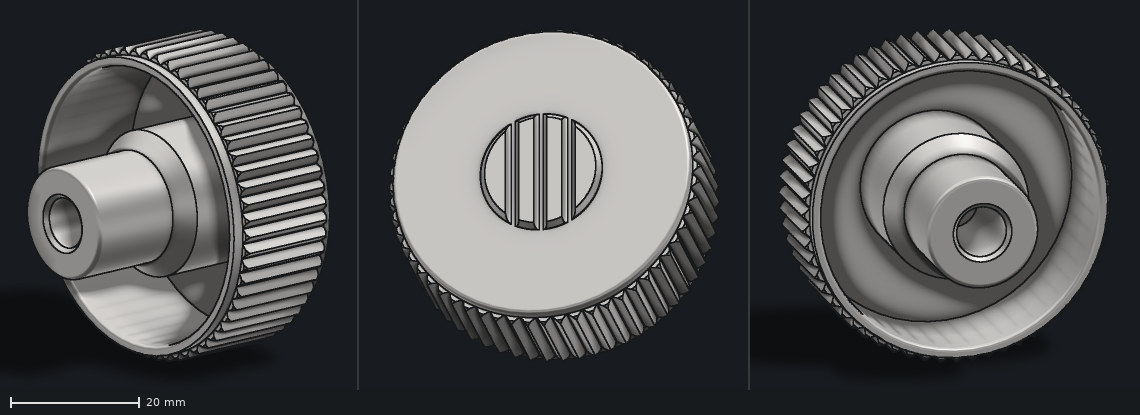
import cadquery as cq
import math

rim_diameter = 47.5
rim_length = 20.0
rim_back_fillet = 0.65
cavity_diameter = 44.6
cavity_depth = 18.0
cavity_mouth_fillet = 0.6

tooth_count = 60
tip_diameter = 50.0
valley_diameter = 47.4
band_start = 1.8
band_length = 16.5
tip_chamfer = 0.5

hub_diameter = 18.0
hub_length = 15.0
hub_end_fillet = 0.7
hub_root_diameter = 23.4
hub_cone_start = 0.0
bore_diameter = 8.0
bore_depth = 20.0
bore_chamfer = 0.7

badge_diameter = 19.4
badge_height = 1.0
badge_chamfer = 0.85
groove_count = 3
groove_pitch = 4.5
groove_radius = 1.05


def disc(diameter, start, length):
    """Cylinder about the Y axis reaching from start to start + length."""
    return cq.Workplane("XZ", origin=(0, start, 0)).circle(diameter / 2).extrude(-length)


def make_rim():
    body = disc(rim_diameter, 0, rim_length).faces(">Y").edges().fillet(rim_back_fillet)
    body = body.cut(disc(cavity_diameter, 0, cavity_depth))
    cavity_mouth = cq.selectors.RadiusNthSelector(0)
    return body.faces("<Y").edges(cavity_mouth).fillet(cavity_mouth_fillet)


def make_knurled_band():
    """Ring of pointed teeth whose tips are chamfered at both ends."""
    points = []
    for i in range(2 * tooth_count):
        radius = (tip_diameter if i % 2 == 0 else valley_diameter) / 2
        angle = math.pi * i / tooth_count
        points.append((radius * math.cos(angle), radius * math.sin(angle)))
    plane = cq.Workplane("XZ", origin=(0, band_start, 0))
    teeth = plane.polyline(points).close().extrude(-band_length)
    envelope = disc(tip_diameter, band_start, band_length).edges("%CIRCLE").chamfer(tip_chamfer)
    return teeth.intersect(envelope).cut(disc(cavity_diameter, band_start, band_length))


def make_hub():
    """Stepped hub with a conical shoulder, joined to the cavity floor."""
    hub = disc(hub_diameter, -hub_length, hub_length + cavity_depth)
    hub = hub.faces("<Y").edges().fillet(hub_end_fillet)
    root = disc(hub_root_diameter, hub_cone_start, cavity_depth - hub_cone_start)
    shoulder = (hub_root_diameter - hub_diameter) / 2
    return hub.union(root.faces("<Y").edges().chamfer(shoulder))


def make_bore():
    mouth = cq.Solid.makeCone(
        bore_diameter / 2 + bore_chamfer,
        bore_diameter / 2,
        bore_chamfer,
        cq.Vector(0, -hub_length, 0),
        cq.Vector(0, 1, 0),
    )
    return disc(bore_diameter, -hub_length, bore_depth).union(cq.Workplane(mouth))


def make_badge():
    """Low chamfered disc that carries the grooves."""
    badge = disc(badge_diameter, rim_length, badge_height)
    return badge.faces(">Y").edges().chamfer(badge_chamfer)


def make_groove(x):
    """Round-bottomed groove running along Z right across the badge."""
    axis_y = rim_length + badge_height
    profile = (
        cq.Workplane("XY", origin=(x, axis_y, -badge_diameter))
        .moveTo(-groove_radius, groove_radius)
        .lineTo(-groove_radius, 0)
        .threePointArc((0, -groove_radius), (groove_radius, 0))
        .lineTo(groove_radius, groove_radius)
        .close()
    )
    return profile.extrude(2 * badge_diameter)


badge = make_badge()
for i in range(groove_count):
    badge = badge.cut(make_groove((i - (groove_count - 1) / 2) * groove_pitch))

result = make_rim().union(make_knurled_band()).union(make_hub()).union(badge)
result = result.cut(make_bore())